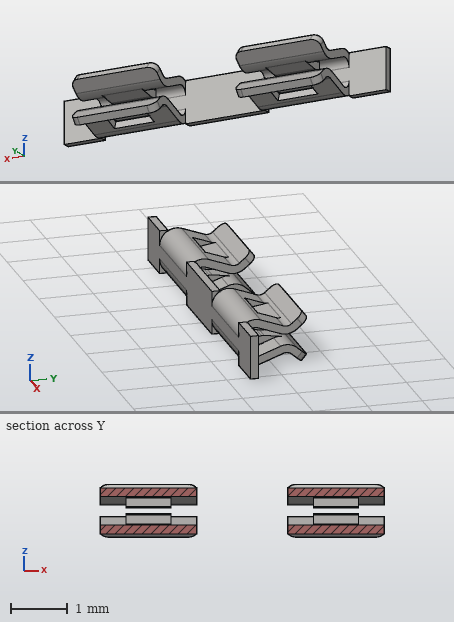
import cadquery as cq
import math


SHEET = 0.15
CARRIER_LENGTH = 6.5
CARRIER_HEIGHT = 0.8
PART_DEPTH = 1.28

CLIP_WIDTH = 1.7
CLIP_PITCH = 3.3
ROOT_HALF_HEIGHT = 0.128
INNER_RADIUS = 0.15
OUTER_RADIUS = INNER_RADIUS + SHEET
ARM_ANGLE = 20
FLARE_ANGLE = 40
THROAT_Y = 0.871
TIP_CORNER_RADIUS = 0.15

TAB_WIDTH = 0.8
TAB_ANGLE = 9
TAB_TIP_ANGLE = 10
TAB_BEND_Y = 0.572
TAB_END_Y = 0.408
WINDOW_FRONT_Y = 0.475


def polar(center, radius, angle):
    """Point in the YZ plane; the angle is measured from +Z toward +Y."""
    a = math.radians(angle)
    return (center[0] + radius * math.sin(a), center[1] + radius * math.cos(a))


def slope(angle):
    return math.tan(math.radians(angle))


def extrude_centered(profile, width):
    """Extrude a closed YZ profile symmetrically along X."""
    return profile.close().extrude(width / 2, both=True)


ROOT = (OUTER_RADIUS, ROOT_HALF_HEIGHT)
ARM_START = polar(ROOT, OUTER_RADIUS, ARM_ANGLE)
arm_end_y = THROAT_Y - INNER_RADIUS * math.sin(math.radians(ARM_ANGLE))
ARM_END = (arm_end_y, ARM_START[1] - (arm_end_y - ARM_START[0]) * slope(ARM_ANGLE))
THROAT = polar(ARM_END, INNER_RADIUS, ARM_ANGLE)

THROAT_ARM_DIR = 180 + ARM_ANGLE
THROAT_FLARE_DIR = 180 - FLARE_ANGLE
THROAT_MID_DIR = (THROAT_ARM_DIR + THROAT_FLARE_DIR) / 2
HINGE_DIR = 180 - TAB_ANGLE

FLARE_DIR = 90 - FLARE_ANGLE
flare_run = PART_DEPTH - polar(THROAT, OUTER_RADIUS, THROAT_FLARE_DIR)[0]
FLARE_LENGTH = flare_run / math.cos(math.radians(FLARE_ANGLE))


def make_carrier():
    carrier = cq.Workplane("XY").box(
        CARRIER_LENGTH, SHEET, CARRIER_HEIGHT, centered=(True, False, True)
    )
    notch_height = CARRIER_HEIGHT / 2 - ROOT_HALF_HEIGHT
    for x in (-CLIP_PITCH / 2, CLIP_PITCH / 2):
        for side in (-1, 1):
            notch = cq.Workplane("XY").box(CLIP_WIDTH, SHEET, notch_height)
            notch_z = side * (ROOT_HALF_HEIGHT + notch_height / 2)
            carrier = carrier.cut(notch.translate((x, SHEET / 2, notch_z)))
    return carrier


def make_arm():
    """Bent strip: root bend, sloping arm, throat bend and flare with rounded tip corners."""
    root_mid_dir = (ARM_ANGLE - 90) / 2
    flare_outer = polar(THROAT, INNER_RADIUS, THROAT_FLARE_DIR)
    flare_inner = polar(THROAT, OUTER_RADIUS, THROAT_FLARE_DIR)
    profile = (
        cq.Workplane("YZ")
        .moveTo(*polar(ROOT, OUTER_RADIUS, -90))
        .threePointArc(polar(ROOT, OUTER_RADIUS, root_mid_dir), ARM_START)
        .lineTo(*ARM_END)
        .threePointArc(polar(THROAT, INNER_RADIUS, THROAT_MID_DIR), flare_outer)
        .lineTo(*polar(flare_outer, FLARE_LENGTH, FLARE_DIR))
        .lineTo(*polar(flare_inner, FLARE_LENGTH, FLARE_DIR))
        .lineTo(*flare_inner)
        .threePointArc(
            polar(THROAT, OUTER_RADIUS, THROAT_MID_DIR),
            polar(THROAT, OUTER_RADIUS, THROAT_ARM_DIR),
        )
        .lineTo(*polar(ROOT, INNER_RADIUS, ARM_ANGLE))
        .threePointArc(polar(ROOT, INNER_RADIUS, root_mid_dir), polar(ROOT, INNER_RADIUS, -90))
    )
    arm = extrude_centered(profile, CLIP_WIDTH)
    tip_corners = arm.faces(">Y").edges("not |X")
    return tip_corners.fillet(TIP_CORNER_RADIUS)


def make_window():
    """Opening through the arm, from its front edge to the tab hinge."""
    front_z = ARM_START[1] - (WINDOW_FRONT_Y - ARM_START[0]) * slope(ARM_ANGLE)
    profile = (
        cq.Workplane("YZ")
        .moveTo(*polar((WINDOW_FRONT_Y, front_z), SHEET, ARM_ANGLE))
        .lineTo(*polar((WINDOW_FRONT_Y, front_z), -2 * SHEET, ARM_ANGLE))
        .lineTo(*polar(THROAT, OUTER_RADIUS + SHEET, HINGE_DIR))
        .lineTo(*THROAT)
    )
    return extrude_centered(profile, TAB_WIDTH)


def make_tab():
    """Tongue leaving the throat bend tangentially, with its tip bent back."""
    hinge_outer = polar(THROAT, INNER_RADIUS, HINGE_DIR)
    hinge_inner = polar(THROAT, OUTER_RADIUS, HINGE_DIR)
    bend = (TAB_BEND_Y, hinge_outer[1] - (hinge_outer[0] - TAB_BEND_Y) * slope(TAB_ANGLE))
    tip_outer = (TAB_END_Y, bend[1] + (TAB_BEND_Y - TAB_END_Y) * slope(TAB_TIP_ANGLE))
    tip_bend_dir = 180 + TAB_TIP_ANGLE
    bend_mid_dir = (HINGE_DIR + tip_bend_dir) / 2
    tip_bend = polar(bend, SHEET, tip_bend_dir)
    tip_inner = (TAB_END_Y, tip_bend[1] + (tip_bend[0] - TAB_END_Y) * slope(TAB_TIP_ANGLE))
    profile = (
        cq.Workplane("YZ")
        .moveTo(*hinge_outer)
        .lineTo(*bend)
        .lineTo(*tip_outer)
        .lineTo(*tip_inner)
        .lineTo(*tip_bend)
        .threePointArc(polar(bend, SHEET, bend_mid_dir), polar(bend, SHEET, HINGE_DIR))
        .lineTo(*hinge_inner)
    )
    return extrude_centered(profile, TAB_WIDTH)


upper_arm = make_arm().cut(make_window()).union(make_tab())
lower_arm = upper_arm.mirror("XY")

result = make_carrier()
for clip_x in (-CLIP_PITCH / 2, CLIP_PITCH / 2):
    for arm in (upper_arm, lower_arm):
        result = result.union(arm.translate((clip_x, 0, 0)))